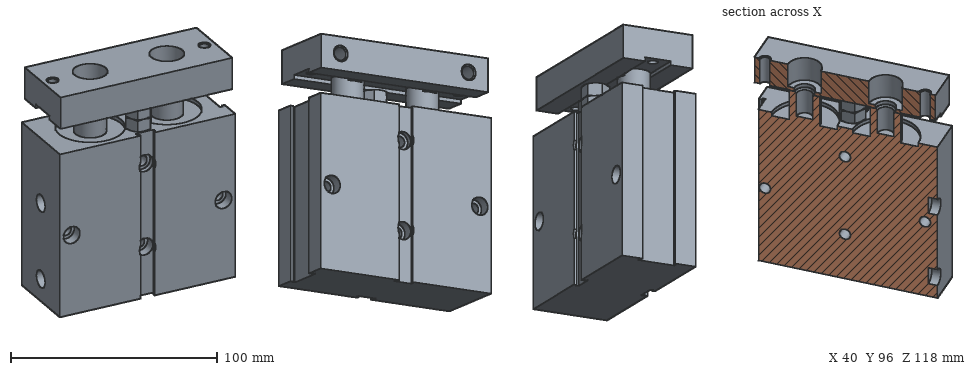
import cadquery as cq
import math

TOTAL_HEIGHT = 118.0
PLATE_HEIGHT = 17.0
GAP_HEIGHT = 13.0
HOUSING_HEIGHT = TOTAL_HEIGHT - PLATE_HEIGHT - GAP_HEIGHT
PLATE_BOTTOM = HOUSING_HEIGHT + GAP_HEIGHT

HOUSING_X = 40.0
HOUSING_Y = 96.0

SIDE_SLOT_MOUTH = 7.7
BACK_SLOT_MOUTH = 17.5
SLOT_DEPTH = 3.1
SLOT_LIP = 1.5
SLOT_UNDERCUT = 1.1

MOUNT_HOLE_D = 5.5
MOUNT_BORE_D = 9.0
MOUNT_BORE_DEPTH = 6.0
LOW_BORE_DEPTH = 8.6
LOW_HOLE_HEIGHT = 26.0
HIGH_HOLE_HEIGHT = 71.0
OUTER_HOLE_Y = 41.5
OUTER_HOLE_HEIGHT = 43.0

PORT_D = 9.0
PORT_DEPTH = 4.7
PORT_HEIGHTS = (12.0, 53.0)

ROD_D = 16.0
ROD_Y = 21.0
RECESS_D = 34.0
RECESS_DEPTH = 2.0
ROD_FLATS = 14.0
ROD_SHOULDER_DROP = 0.8
ROD_TAP_D = 8.4
ROD_TAP_MOUTH_D = 10.0
ROD_TAP_DEPTH = 14.2

NUT_FLATS = 12.0
NUT_X = 10.3
NUT_COUNT = 2
NUT_HEIGHT = GAP_HEIGHT / NUT_COUNT
NUT_CHAMFER_HEIGHT = 0.4

PLATE_X = 37.5
PLATE_Y = 94.0
PLATE_SLOT_DEPTH = 2.0
SCREW_HOLE_D = 10.5
SCREW_BORE_D = 17.0
SCREW_BORE_DEPTH = 13.0
TOP_TAP_D = 5.0
TOP_TAP_MOUTH_D = 6.0
TOP_TAP_Y = 41.5
SIDE_TAP_D = 6.6
SIDE_TAP_MOUTH_D = 8.0
SIDE_TAP_Y = 36.0
SIDE_TAP_DEPTH = 11.8

ROD_TOP = PLATE_BOTTOM + PLATE_SLOT_DEPTH
UP = cq.Vector(0, 0, 1)
ALONG_X = cq.Vector(1, 0, 0)
ALONG_Y = cq.Vector(0, 1, 0)


def block(x, y, height, bottom):
    """Box centred on the Z axis, standing on the level 'bottom'."""
    return cq.Workplane("XY", origin=(0, 0, bottom)).box(x, y, height, centered=(True, True, False))


def cylinder(diameter, length, start, direction):
    """Cylinder that runs from the point 'start' along 'direction'."""
    return cq.Workplane(obj=cq.Solid.makeCylinder(diameter / 2, length, cq.Vector(*start), direction))


def chamfered_hole(diameter, mouth_diameter, depth, mouth, direction):
    """Cutter for a hole with a 45 degree chamfer at its mouth."""
    chamfer = (mouth_diameter - diameter) / 2
    cone = cq.Solid.makeCone(mouth_diameter / 2, diameter / 2, chamfer, cq.Vector(*mouth), direction)
    return cylinder(diameter, depth, mouth, direction).union(cq.Workplane(obj=cone))


def slot_cutter(mouth_width):
    """Vertical T-slot cutter, open at the plane Y = 0 and reaching into -Y."""
    mouth = block(mouth_width, 2 * SLOT_DEPTH, HOUSING_HEIGHT, 0)
    chamber = block(mouth_width + 2 * SLOT_UNDERCUT, SLOT_DEPTH - SLOT_LIP, HOUSING_HEIGHT, 0)
    return mouth.union(chamber.translate((0, -(SLOT_DEPTH + SLOT_LIP) / 2, 0)))


def cut_slots(housing):
    """One T-slot down each X face and a wider one down the +Y face."""
    housing = housing.cut(slot_cutter(BACK_SLOT_MOUTH).translate((0, HOUSING_Y / 2, 0)))
    for turn in (-90, 90):
        slot = slot_cutter(SIDE_SLOT_MOUTH).translate((0, HOUSING_X / 2, 0))
        housing = housing.cut(slot.rotate((0, 0, 0), (0, 0, 1), turn))
    return housing


def cut_mounting_holes(housing):
    """Through holes along X, counterbored from both X faces; the low one in the slot is deeper."""
    places = [(0, LOW_HOLE_HEIGHT, LOW_BORE_DEPTH), (0, HIGH_HOLE_HEIGHT, MOUNT_BORE_DEPTH)]
    places += [(side * OUTER_HOLE_Y, OUTER_HOLE_HEIGHT, MOUNT_BORE_DEPTH) for side in (-1, 1)]
    for y, z, bore_depth in places:
        left = (-HOUSING_X / 2, y, z)
        right = (HOUSING_X / 2, y, z)
        housing = housing.cut(cylinder(MOUNT_HOLE_D, HOUSING_X, left, ALONG_X))
        housing = housing.cut(cylinder(MOUNT_BORE_D, bore_depth, left, ALONG_X))
        housing = housing.cut(cylinder(MOUNT_BORE_D, bore_depth, right, -ALONG_X))
    return housing


def cut_ports(housing):
    """Blind air ports in the -Y face."""
    for z in PORT_HEIGHTS:
        mouth = (0, -HOUSING_Y / 2, z)
        housing = housing.cut(cylinder(PORT_D, PORT_DEPTH, mouth, ALONG_Y))
    return housing


def make_rod(y):
    """Round rod with two flats at its top end and a tapped hole down its axis."""
    bottom = HOUSING_HEIGHT - RECESS_DEPTH
    shoulder = PLATE_BOTTOM - ROD_SHOULDER_DROP
    rod = cylinder(ROD_D, ROD_TOP - bottom, (0, 0, bottom), UP)
    envelope = block(ROD_D, ROD_D, shoulder - bottom, bottom)
    envelope = envelope.union(block(ROD_FLATS, ROD_D, ROD_TOP - shoulder, shoulder))
    rod = rod.intersect(envelope)
    tap = chamfered_hole(ROD_TAP_D, ROD_TAP_MOUTH_D, ROD_TAP_DEPTH, (0, 0, ROD_TOP), -UP)
    return rod.cut(tap).translate((0, y, 0))


def make_nut(bottom):
    """Hexagon with flats facing +X and -X and conically chamfered corners."""
    corner_d = NUT_FLATS / math.cos(math.radians(30))
    plane = cq.Workplane("XY", origin=(0, 0, bottom))
    hexagon = plane.polygon(6, corner_d).extrude(NUT_HEIGHT)
    hexagon = hexagon.rotate((0, 0, 0), (0, 0, 1), 30)
    chamfer_width = (corner_d - NUT_FLATS) / 2
    round_envelope = plane.circle(corner_d / 2).extrude(NUT_HEIGHT)
    round_envelope = round_envelope.faces("<Z or >Z").chamfer(NUT_CHAMFER_HEIGHT, chamfer_width)
    return hexagon.intersect(round_envelope).translate((NUT_X, 0, 0))


def make_housing():
    housing = block(HOUSING_X, HOUSING_Y, HOUSING_HEIGHT, 0)
    housing = cut_slots(housing)
    housing = cut_mounting_holes(housing)
    housing = cut_ports(housing)
    for side in (-1, 1):
        recess_top = (0, side * ROD_Y, HOUSING_HEIGHT)
        housing = housing.cut(cylinder(RECESS_D, RECESS_DEPTH, recess_top, -UP))
        housing = housing.union(make_rod(side * ROD_Y))
    for index in range(NUT_COUNT):
        housing = housing.union(make_nut(HOUSING_HEIGHT + index * NUT_HEIGHT))
    return housing


def make_plate():
    plate = block(PLATE_X, PLATE_Y, PLATE_HEIGHT, PLATE_BOTTOM)
    plate = plate.cut(block(ROD_FLATS, PLATE_Y, PLATE_SLOT_DEPTH, PLATE_BOTTOM))
    for side in (-1, 1):
        screw_top = (0, side * ROD_Y, TOTAL_HEIGHT)
        plate = plate.cut(cylinder(SCREW_HOLE_D, PLATE_HEIGHT, screw_top, -UP))
        plate = plate.cut(cylinder(SCREW_BORE_D, SCREW_BORE_DEPTH, screw_top, -UP))
        top_mouth = (0, side * TOP_TAP_Y, TOTAL_HEIGHT)
        plate = plate.cut(chamfered_hole(TOP_TAP_D, TOP_TAP_MOUTH_D, PLATE_HEIGHT, top_mouth, -UP))
        side_mouth = (-PLATE_X / 2, side * SIDE_TAP_Y, TOTAL_HEIGHT - PLATE_HEIGHT / 2)
        plate = plate.cut(chamfered_hole(SIDE_TAP_D, SIDE_TAP_MOUTH_D, SIDE_TAP_DEPTH, side_mouth, ALONG_X))
    return plate


housing = make_housing()
plate = make_plate()
result = cq.Compound.makeCompound([housing.val(), plate.val()])